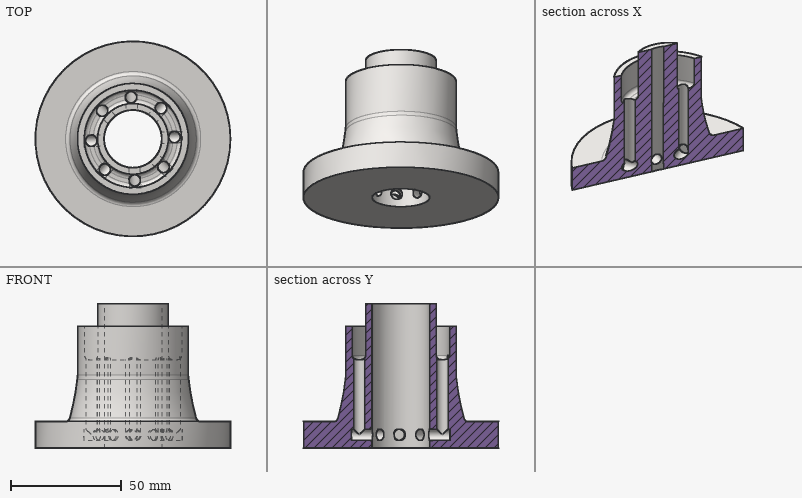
import cadquery as cq

total_height = 65.0
flange_height = 12.0
body_height = 54.9

flange_radius = 44.0
body_radius = 25.0
tube_radius = 15.9
bore_radius = 12.9

skirt_bottom_radius = 28.5
skirt_top_radius = 25.2
skirt_bottom_z = flange_height + 1.6
skirt_top_z = 31.0
skirt_hollow = 0.35
skirt_blend_top_z = 32.9
flange_blend_radius = 30.45

cavity_radius = 21.9
cavity_depth = 15.05
cavity_fillet = 2.0
cavity_floor_z = body_height - cavity_depth

passage_count = 8
passage_radius = 2.55
passage_circle_radius = 18.7
passage_start_angle = 2.5
passage_port_overrun = 0.9
passage_port_z = flange_height / 2


def make_body():
    """Revolve the half profile with its annular cavity."""
    skirt_middle = (
        (skirt_bottom_radius + skirt_top_radius) / 2 - skirt_hollow,
        (skirt_bottom_z + skirt_top_z) / 2,
    )
    profile = (
        cq.Workplane("XZ")
        .moveTo(bore_radius, 0)
        .lineTo(flange_radius, 0)
        .lineTo(flange_radius, flange_height)
        .lineTo(flange_blend_radius, flange_height)
        .tangentArcPoint((skirt_bottom_radius, skirt_bottom_z), relative=False)
        .threePointArc(skirt_middle, (skirt_top_radius, skirt_top_z))
        .tangentArcPoint((body_radius, skirt_blend_top_z), relative=False)
        .lineTo(body_radius, body_height)
        .lineTo(cavity_radius, body_height)
        .lineTo(cavity_radius, cavity_floor_z + cavity_fillet)
        .tangentArcPoint((cavity_radius - cavity_fillet, cavity_floor_z), relative=False)
        .lineTo(tube_radius + cavity_fillet, cavity_floor_z)
        .tangentArcPoint((tube_radius, cavity_floor_z + cavity_fillet), relative=False)
        .lineTo(tube_radius, total_height)
        .lineTo(bore_radius, total_height)
        .lineTo(bore_radius, 0)
        .close()
    )
    return profile.revolve(360, (0, 0, 0), (0, 1, 0))


def make_passage(angle):
    """Vertical hole down from the cavity, turning inward to the bore."""
    drop_top_z = cavity_floor_z + cavity_fillet
    drop = (
        cq.Workplane("XY", origin=(passage_circle_radius, 0, passage_port_z))
        .circle(passage_radius)
        .extrude(drop_top_z - passage_port_z)
    )
    port = (
        cq.Workplane("YZ", origin=(0, 0, passage_port_z))
        .circle(passage_radius)
        .extrude(passage_circle_radius + passage_radius + passage_port_overrun)
    )
    return drop.union(port).rotate((0, 0, 0), (0, 0, 1), angle)


result = make_body()

for index in range(passage_count):
    passage_angle = passage_start_angle + index * 360 / passage_count
    result = result.cut(make_passage(passage_angle))